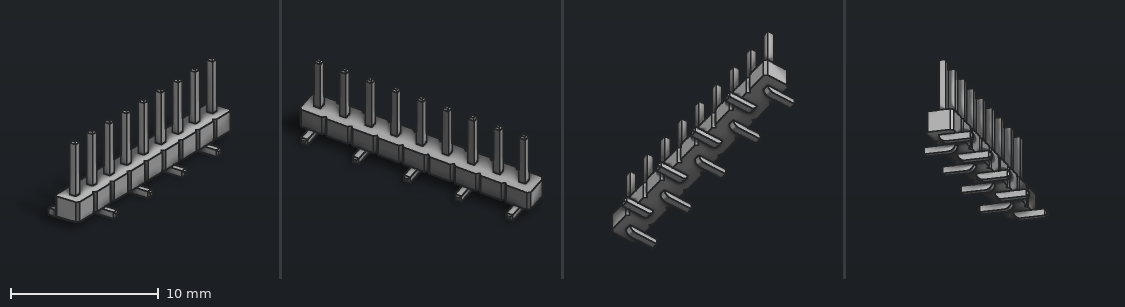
import cadquery as cq
import math

pin_count = 9
pitch = 2.0
pin_size = 0.5
tip_chamfer = 0.125
total_height = 6.0
foot_span = 4.2

body_width = 2.0
body_height = 1.5
corner_bevel = 0.2

body_bottom = pin_size
half_pin = pin_size / 2
bend_radius = pin_size


def make_cell(y_center):
    """One pitch of the plastic body, an octagonal block with bevelled vertical corners."""
    half_x = body_width / 2
    half_y = pitch / 2
    inner_x = half_x - corner_bevel
    inner_y = half_y - corner_bevel
    outline = [
        (inner_x, -half_y),
        (half_x, -inner_y),
        (half_x, inner_y),
        (inner_x, half_y),
        (-inner_x, half_y),
        (-half_x, inner_y),
        (-half_x, -inner_y),
        (-inner_x, -half_y),
    ]
    return (
        cq.Workplane("XY", origin=(0, y_center, body_bottom))
        .polyline(outline)
        .close()
        .extrude(body_height)
    )


def make_left_pin():
    """L-shaped pin at Y = 0 with its foot pointing to -X and a rounded outer bend."""
    upright = (
        cq.Workplane("XY")
        .box(pin_size, pin_size, total_height - bend_radius, centered=(True, True, False))
        .translate((0, 0, bend_radius))
        .faces(">Z")
        .chamfer(tip_chamfer)
    )
    foot_length = foot_span / 2 - half_pin
    foot = (
        cq.Workplane("XY")
        .box(foot_length, pin_size, pin_size, centered=(False, True, False))
        .translate((-foot_span / 2, 0, 0))
        .faces("<X")
        .chamfer(tip_chamfer)
    )
    diagonal_reach = bend_radius * math.cos(math.radians(45))
    bend_middle = (-half_pin + diagonal_reach, bend_radius - diagonal_reach)
    bend = (
        cq.Workplane("XZ")
        .moveTo(-half_pin, bend_radius)
        .lineTo(-half_pin, 0)
        .threePointArc(bend_middle, (half_pin, bend_radius))
        .close()
        .extrude(half_pin, both=True)
    )
    return upright.union(foot).union(bend)


first_y = -pitch * (pin_count - 1) / 2
left_pin = make_left_pin()
right_pin = left_pin.mirror("YZ")

result = make_cell(first_y)
for index in range(1, pin_count):
    result = result.union(make_cell(first_y + index * pitch))

for index in range(pin_count):
    pin = left_pin if index % 2 == 0 else right_pin
    result = result.union(pin.translate((0, first_y + index * pitch, 0)))

result = result.clean()